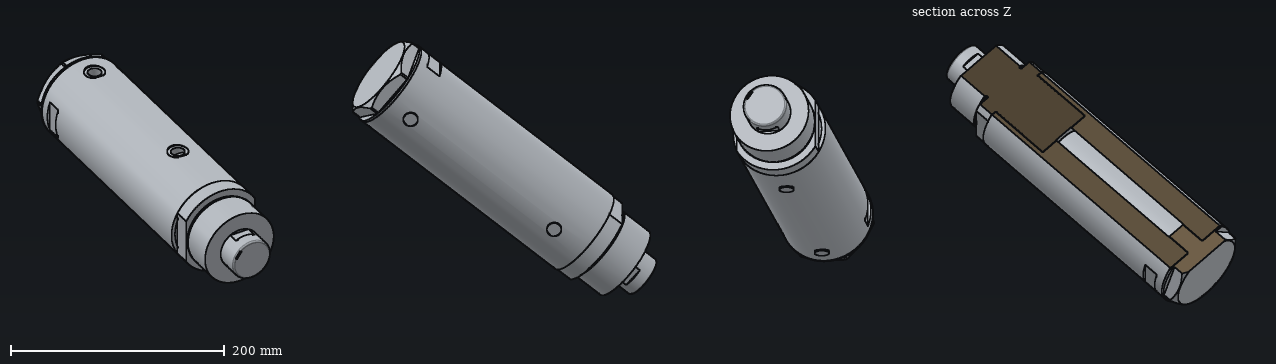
import cadquery as cq
import math

total_length = 324.5
outer_diameter = 88.0
outer_radius = outer_diameter / 2

hex_across_flats = 76.3
hex_corner_radius = 43.5
hex_length = 13.0
hex_face_radius = 37.5
hex_chamfer_length = 5.0
hex_tilt = 112.2
cap_flange_end = 15.3
cap_spigot_end = 40.2
cap_spigot_radius = 30.8

housing_end = 251.0
wrench_slot_start = 24.5
wrench_slot_length = 15.3
wrench_slot_across = 82.0
port_positions = (37.3, 189.2)
port_diameter = 13.3
spot_face_diameter = 20.0
spot_face_depth = 1.3
pad_positions = (39.3, 215.0)
pad_diameter = 13.5
pad_height = 1.3

gland_start = 189.0
gland_seat_radius = 40.2
collar_end = 267.0
neck_diameter = 75.0
neck_radius = neck_diameter / 2
neck_end = 301.5
collar_across_flats = neck_diameter
relief_depth = 1.0
relief_length = 2.0

shaft_radius = 20.5
shaft_inner_radius = 22.7
shaft_across_flats = 35.7
shaft_flat_end = 311.8
shaft_fillet = 1.5
tab_height = 0.3
tab_width = 8.5
tab_thickness = 1.5
tab_outer_radius = shaft_radius - shaft_fillet
tab_inner_radius = tab_outer_radius - tab_thickness
tab_angle = 144.0
shaft_end = total_length - tab_height


def turned(points):
    """Solid of revolution about the X axis of an outline of (x, radius) points."""
    return cq.Workplane("XZ").polyline(points).close().revolve(360, (0, 0, 0), (1, 0, 0))


def cylinder(radius, start, end):
    """Solid cylinder about the X axis from x = start to x = end."""
    return turned([(start, 0), (start, radius), (end, radius), (end, 0)])


def block(start, end, width_y, low_z, high_z):
    """Box centred on y = 0."""
    size_x = end - start
    size_z = high_z - low_z
    middle = ((start + end) / 2, 0, (low_z + high_z) / 2)
    return cq.Workplane("XY").box(size_x, width_y, size_z).translate(middle)


def flats(start, end, across):
    """Pair of cutters that leave two flats facing +Z and -Z, the distance across apart."""
    upper = block(start, end, outer_diameter, across / 2, outer_diameter)
    return upper.union(upper.mirror("XY"))


def side_flats(start, end, across):
    """Pair of cutters that leave two flats facing +Y and -Y, the distance across apart."""
    return flats(start, end, across).rotate((0, 0, 0), (1, 0, 0), 90)


def vertical_cylinder(radius, x, low_z, high_z):
    """Solid cylinder parallel to Z on the y = 0 plane."""
    return cq.Workplane("XY", origin=(x, 0, low_z)).circle(radius).extrude(high_z - low_z)


def make_cap():
    across_corners = hex_across_flats / math.cos(math.pi / 6)
    prism = cq.Workplane("YZ").polygon(6, across_corners).extrude(hex_length)
    envelope = turned([
        (0, 0),
        (0, hex_face_radius),
        (hex_chamfer_length, hex_corner_radius),
        (hex_length, hex_corner_radius),
        (hex_length, 0),
    ])
    flange = cylinder(outer_radius, hex_length, cap_flange_end)
    spigot = cylinder(cap_spigot_radius, cap_flange_end, cap_spigot_end)
    cap = prism.intersect(envelope).union(flange).union(spigot)
    return cap.rotate((0, 0, 0), (1, 0, 0), hex_tilt)


def make_housing():
    housing = cylinder(outer_radius, cap_flange_end, housing_end)
    for x in pad_positions:
        housing = housing.union(vertical_cylinder(pad_diameter / 2, x, -outer_radius - pad_height, 0))

    housing = housing.cut(cylinder(cap_spigot_radius, cap_flange_end, gland_start))
    housing = housing.cut(cylinder(gland_seat_radius, gland_start, housing_end))

    slot_end = wrench_slot_start + wrench_slot_length
    housing = housing.cut(side_flats(wrench_slot_start, slot_end, wrench_slot_across))

    for x in port_positions:
        housing = housing.cut(vertical_cylinder(port_diameter / 2, x, 0, outer_radius))
        spot_face_z = outer_radius - spot_face_depth
        housing = housing.cut(vertical_cylinder(spot_face_diameter / 2, x, spot_face_z, outer_radius))
    return housing


def make_gland():
    relief_radius = neck_radius - relief_depth
    chamfer_start = collar_end + relief_length
    gland = turned([
        (gland_start, shaft_radius),
        (gland_start, gland_seat_radius),
        (housing_end, gland_seat_radius),
        (housing_end, outer_radius),
        (collar_end, outer_radius),
        (collar_end, relief_radius),
        (chamfer_start, relief_radius),
        (chamfer_start + relief_depth, neck_radius),
        (neck_end, neck_radius),
        (neck_end, shaft_radius),
    ])
    return gland.cut(side_flats(housing_end, collar_end, collar_across_flats))


def make_shaft():
    inner_part = cylinder(shaft_inner_radius, cap_spigot_end, gland_start)
    front_part = cylinder(shaft_radius, gland_start, shaft_end)
    front_part = front_part.faces(">X").edges().fillet(shaft_fillet)
    shaft = inner_part.union(front_part)
    shaft = shaft.cut(flats(neck_end, shaft_flat_end, shaft_across_flats))

    tab = block(shaft_end - shaft_fillet, total_length, tab_width, tab_inner_radius, tab_outer_radius)
    return shaft.union(tab.rotate((0, 0, 0), (1, 0, 0), tab_angle - 90))


cap = make_cap()
housing = make_housing()
gland = make_gland()
shaft = make_shaft()

result = cq.Compound.makeCompound([cap.val(), housing.val(), gland.val(), shaft.val()])